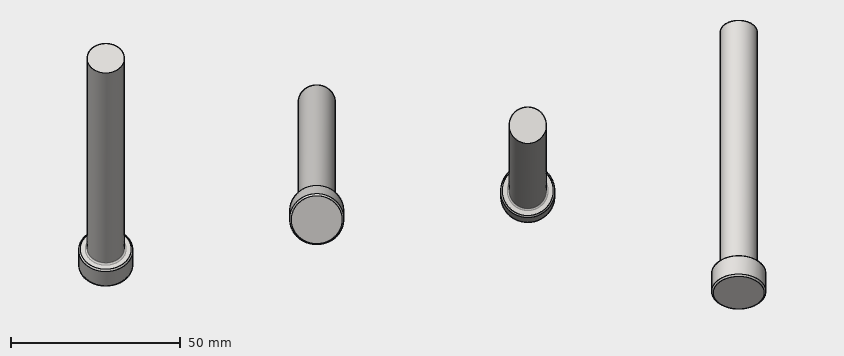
import cadquery as cq

total_length = 100.0
shank_diameter = 11.0

head_diameter = 16.0
head_height = 8.0
head_chamfer = 0.5

neck_fillet = 0.5

shank_radius = shank_diameter / 2
head_radius = head_diameter / 2

profile = (
    cq.Workplane("XZ")
    .lineTo(head_radius - head_chamfer, 0)
    .lineTo(head_radius, head_chamfer)
    .lineTo(head_radius, head_height - head_chamfer)
    .lineTo(head_radius - head_chamfer, head_height)
    .lineTo(shank_radius + neck_fillet, head_height)
    .radiusArc((shank_radius, head_height + neck_fillet), neck_fillet)
    .lineTo(shank_radius, total_length)
    .lineTo(0, total_length)
    .close()
)

result = profile.revolve(360, (0, 0, 0), (0, 1, 0))